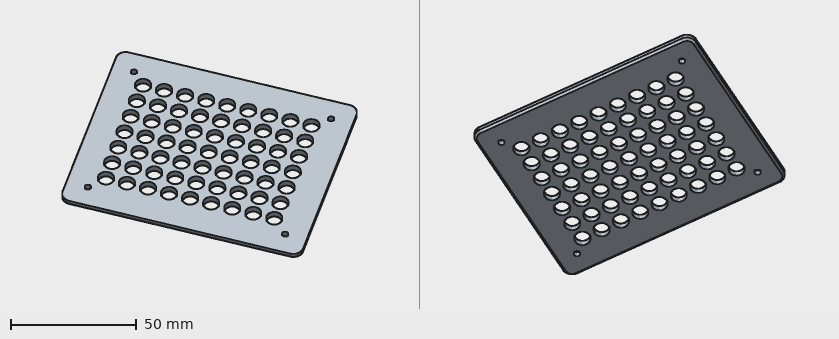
import cadquery as cq

length = 100.0
width = 80.0
thickness = 3.0
corner_radius = 4.0
bottom_chamfer = 1.0

grid_columns = 9
grid_rows = 7
grid_span_x = 70.0
grid_span_y = 50.0
grid_center = (-0.5, 0.5)
grid_hole_diameter = 6.5

mount_inset = 9.0
mount_hole_diameter = 2.5


def make_plate():
    """Rounded plate with its bottom face at Z = 0 and a chamfered bottom rim."""
    plate = cq.Workplane("XY").box(length, width, thickness, centered=(True, True, False))
    plate = plate.edges("|Z").fillet(corner_radius)
    return plate.faces("<Z").edges().chamfer(bottom_chamfer)


def cut_grid_holes(plate):
    pitch_x = grid_span_x / (grid_columns - 1)
    pitch_y = grid_span_y / (grid_rows - 1)
    return (
        plate.faces(">Z")
        .workplane(origin=(*grid_center, thickness))
        .rarray(pitch_x, pitch_y, grid_columns, grid_rows)
        .hole(grid_hole_diameter)
    )


def cut_mount_holes(plate):
    return (
        plate.faces(">Z")
        .workplane(origin=(0, 0, thickness))
        .rect(length - 2 * mount_inset, width - 2 * mount_inset, forConstruction=True)
        .vertices()
        .hole(mount_hole_diameter)
    )


result = cut_mount_holes(cut_grid_holes(make_plate()))